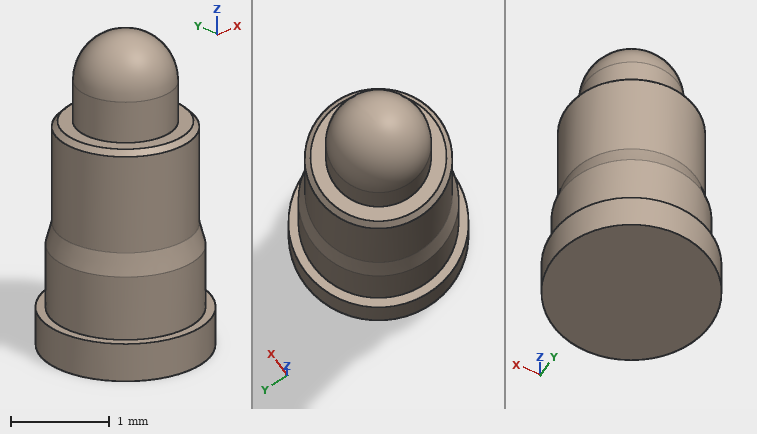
import cadquery as cq

total_height = 3.48
flange_diameter = 1.83
base_diameter = 1.63
barrel_diameter = 1.5
plunger_diameter = 1.072

flange_top = 0.418
base_top = 1.12
taper_top = 1.36
barrel_top = 2.488

barrel_chamfer = 0.06


def cylinder(diameter, bottom, top):
    """Vertical cylinder on the Z axis between two heights."""
    return cq.Workplane("XY").workplane(offset=bottom).circle(diameter / 2).extrude(top - bottom)


flange = cylinder(flange_diameter, 0, flange_top)
base = cylinder(base_diameter, flange_top, base_top)

taper = (
    cq.Workplane("XY")
    .workplane(offset=base_top)
    .circle(base_diameter / 2)
    .workplane(offset=taper_top - base_top)
    .circle(barrel_diameter / 2)
    .loft(ruled=True)
)

barrel = cylinder(barrel_diameter, taper_top, barrel_top).faces(">Z").edges().chamfer(barrel_chamfer)

plunger_radius = plunger_diameter / 2
dome_center = total_height - plunger_radius
plunger = cylinder(plunger_diameter, barrel_top, dome_center)
dome = cq.Workplane("XY").sphere(plunger_radius, angle1=0).translate((0, 0, dome_center))

result = flange.union(base).union(taper).union(barrel).union(plunger).union(dome)